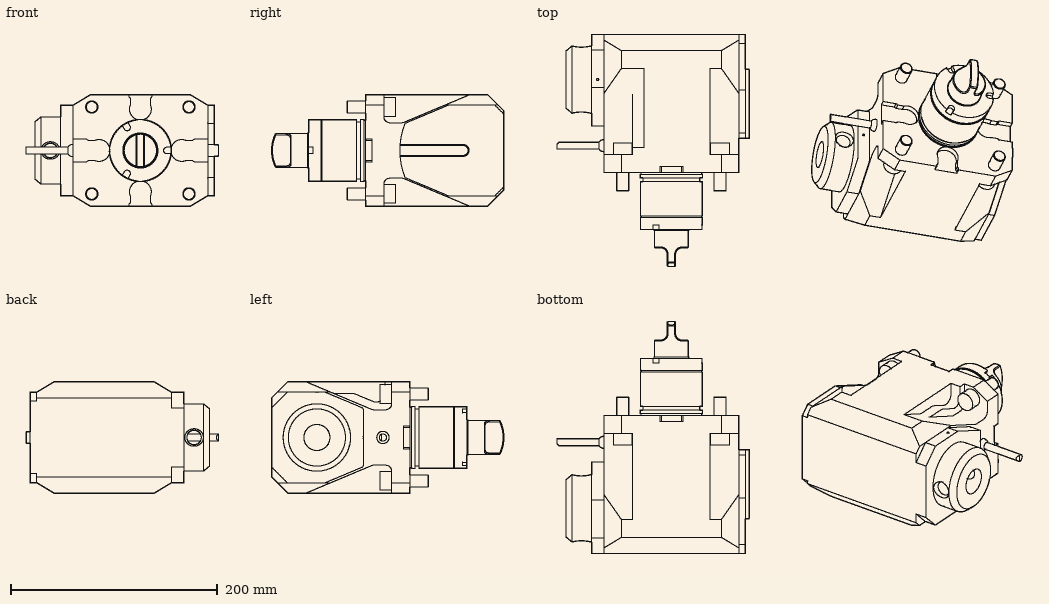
import cadquery as cq
import math


CUT_MARGIN = 2.2

HALF_WIDTH = 65.2
HALF_HEIGHT = 54.0
HOUSING_LENGTH = 133.8
CORNER_WIDTH = 16.9
CORNER_HEIGHT = 10.1
BACK_CHAMFER = 15.7
FLANGE_THICKNESS = 17.5

RELIEF_SLOPE = 0.42
RELIEF_FLOOR_Z = 26.8
RELIEF_SLOPE_END_Y = 36.0
RELIEF_INNER_X = 37.5
RELIEF_FILLET = 6.0

CHANNEL_INNER_X = 26.5
CHANNEL_SHELF_Z = 42.5
CHANNEL_SHELF_END_Y = 54.0
CHANNEL_WALL_Y = 24.3
CHANNEL_FILLET = 8.3
CHANNEL_SHELF_FILLET = 10.5

PLATE_HALF_HEIGHT = HALF_HEIGHT - CORNER_HEIGHT
PLATE_SHOULDER_Y = 82.0
PLATE_EDGE_FILLET = 2.2
LEFT_PLATE_THICKNESS = 12.0
LEFT_PLATE_END_Y = 45.0
LEFT_PLATE_CHAMFER = 15.3
RIGHT_PLATE_THICKNESS = 6.3
RIGHT_PLATE_CHAMFER = 8.8
RIGHT_PLATE_SHOULDER_Y = 80.0
RIGHT_PLATE_ARC_Y = 38.2
RIGHT_PLATE_END_Y = 33.0
PLATE_PIN_X = -71.3
PLATE_PIN_DEPTH = 2.2
TOP_PIN_DIAMETER = 2.1
END_PIN_DIAMETER = 1.7
END_PIN_Z = 0.0

KEY_WIDTH = 11.5
KEY_THICKNESS = 4.3
KEY_CHAMFER = 1.0
KEY_START_Y = RIGHT_PLATE_END_Y
KEY_END_Y = 100.0

NUT_Y = 90.0
NUT_DIAMETER = 65.2
NUT_FACE_DIAMETER = 55.3
NUT_LENGTH = 25.0
NUT_CHAMFER_LENGTH = 5.8
NUT_BORE_DIAMETER = 25.2
CROSS_HOLE_X = -87.0
CROSS_HOLE_DIAMETER = 14.0
CROSS_HOLE_MOUTH_DIAMETER = 18.0
CROSS_HOLE_MOUTH_DEPTH = 4.5

PIPE_Y = 26.0
PIPE_DIAMETER = 7.0
PIPE_END_X = -110.8
PIPE_END_CHAMFER = 2.2
PIPE_BALL_DIAMETER = 12.0

BOLT_X = 47.0
BOLT_Z = 42.0
BOLT_HEAD_DIAMETER = 18.0
BOLT_HEAD_LENGTH = 11.2
BOLT_SHANK_DIAMETER = 12.0
BOLT_PROTRUSION = 18.0
BOLT_TIP_CHAMFER = 0.7

SLOT_DEPTH = 6.0
SLOT_END_RADIUS = 10.5
SLOT_END_POSITION = 40.0
SLOT_NECK_WIDTH = 19.5
SLOT_MOUTH_WIDTH = 22.0
SLOT_TAPER_START = 50.4
SLOT_TAPER_END = 52.2

RELIEF_RING_DIAMETER = 59.0
RELIEF_RING_END = 1.8
COLLAR_DIAMETER = 60.2
COLLAR_END = 5.2
GROOVE_DIAMETER = 55.3
GROOVE_END = 8.8
SLEEVE_DIAMETER = 59.8
SLEEVE_END = 55.0
SEAM_POSITION = 42.7
SEAM_WIDTH = 1.3
SEAM_DEPTH = 0.7
DRIVE_RING_DIAMETER = 34.0
DRIVE_RING_LENGTH = 1.1
DRIVE_DIAMETER = 33.0
DRIVE_SHOULDER = 72.8
TANG_END = 91.0
TANG_THICKNESS = 8.0
TANG_FILLET = 6.3
TANG_TIP_RADIUS = 37.0
TANG_EDGE_CHAMFER = 1.0
NOTCH_WIDTH = 6.3
NOTCH_DEPTH = 4.3
NOTCH_CENTER_RADIUS = 25.6
NOTCH_ANGLES = (0, 120, 240)


def cylinder_along_y(diameter, start, end, x=0.0, z=0.0):
    """Cylinder parallel to Y from Y = start to Y = end."""
    length = end - start
    return cq.Workplane(cq.Solid.makeCylinder(
        diameter / 2, length, cq.Vector(x, start, z), cq.Vector(0, 1, 0)))


def cylinder_along_x(diameter, start, end, y=0.0):
    """Cylinder parallel to X, at Z = 0, from X = start to X = end."""
    length = end - start
    return cq.Workplane(cq.Solid.makeCylinder(
        diameter / 2, length, cq.Vector(start, y, 0), cq.Vector(1, 0, 0)))


def extrude_x(outline, start, end):
    """Extrude a closed list of (Y, Z) points from X = start to X = end."""
    return cq.Workplane("YZ", origin=(start, 0, 0)).polyline(outline).close().extrude(end - start)


def mirrored_outline(upper_half):
    """Close a list of (Y, Z) points with its mirror image below Z = 0."""
    return upper_half + [(y, -z) for y, z in reversed(upper_half)]


def edges_at(body, y, z):
    """Edges parallel to X that pass through the given Y and Z."""
    tolerance = 0.11
    low = (-2 * HALF_WIDTH, y - tolerance, z - tolerance)
    high = (2 * HALF_WIDTH, y + tolerance, z + tolerance)
    return body.edges(cq.selectors.BoxSelector(low, high, boundingbox=True))


def make_housing():
    block = cq.Workplane("XY").box(
        2 * HALF_WIDTH, HOUSING_LENGTH, 2 * HALF_HEIGHT, centered=(True, False, True))
    block = block.faces(">Y").edges("<Z or >Z").chamfer(BACK_CHAMFER)
    shoulder_x = HALF_WIDTH - CORNER_WIDTH
    shoulder_z = HALF_HEIGHT - CORNER_HEIGHT
    section = [
        (HALF_WIDTH, -shoulder_z), (HALF_WIDTH, shoulder_z),
        (shoulder_x, HALF_HEIGHT), (-shoulder_x, HALF_HEIGHT),
        (-HALF_WIDTH, shoulder_z), (-HALF_WIDTH, -shoulder_z),
        (-shoulder_x, -HALF_HEIGHT), (shoulder_x, -HALF_HEIGHT),
    ]
    prism = cq.Workplane("XZ").polyline(section).close().extrude(-HOUSING_LENGTH)
    return block.intersect(prism)


def make_relief_cutter():
    """Pocket above a sloping floor on the +X, +Z corner of the housing."""
    ceiling_z = HALF_HEIGHT + CUT_MARGIN
    slope_top_y = RELIEF_SLOPE_END_Y + (ceiling_z - RELIEF_FLOOR_Z) / RELIEF_SLOPE
    outline = [
        (FLANGE_THICKNESS, ceiling_z), (FLANGE_THICKNESS, RELIEF_FLOOR_Z),
        (RELIEF_SLOPE_END_Y, RELIEF_FLOOR_Z), (slope_top_y, ceiling_z),
    ]
    cutter = extrude_x(outline, RELIEF_INNER_X, HALF_WIDTH + CUT_MARGIN)
    for y, z in outline[1:3]:
        cutter = edges_at(cutter, y, z).fillet(RELIEF_FILLET)
    return cutter


def make_channel_cutter():
    """Stepped channel between the central rib and the -X, +Z relief pocket."""
    ceiling_z = HALF_HEIGHT + CUT_MARGIN
    slope_top_y = RELIEF_SLOPE_END_Y + (ceiling_z - RELIEF_FLOOR_Z) / RELIEF_SLOPE
    shelf_start_y = RELIEF_SLOPE_END_Y + (CHANNEL_SHELF_Z - RELIEF_FLOOR_Z) / RELIEF_SLOPE
    wall_foot_z = CHANNEL_SHELF_Z - RELIEF_SLOPE * (CHANNEL_SHELF_END_Y - CHANNEL_WALL_Y)
    outline = [
        (CHANNEL_WALL_Y, ceiling_z), (CHANNEL_WALL_Y, wall_foot_z),
        (CHANNEL_SHELF_END_Y, CHANNEL_SHELF_Z), (shelf_start_y, CHANNEL_SHELF_Z),
        (slope_top_y, ceiling_z),
    ]
    cutter = extrude_x(outline, -RELIEF_INNER_X, -CHANNEL_INNER_X)
    fillets = (CHANNEL_FILLET, CHANNEL_SHELF_FILLET, CHANNEL_SHELF_FILLET)
    for (y, z), radius in zip(outline[1:4], fillets):
        cutter = edges_at(cutter, y, z).fillet(radius)
    return cutter


def make_flange_slot(reach):
    """Slot running along +X from the spindle to the given distance."""
    neck = SLOT_NECK_WIDTH / 2
    mouth = SLOT_MOUTH_WIDTH / 2
    outline = [
        (SLOT_END_POSITION, -neck), (SLOT_TAPER_START, -neck), (SLOT_TAPER_END, -mouth),
        (reach, -mouth), (reach, mouth),
        (SLOT_TAPER_END, mouth), (SLOT_TAPER_START, neck), (SLOT_END_POSITION, neck),
    ]
    channel = cq.Workplane("XZ").polyline(outline).close().extrude(-SLOT_DEPTH)
    return channel.union(
        cylinder_along_y(2 * SLOT_END_RADIUS, 0, SLOT_DEPTH, x=SLOT_END_POSITION))


def make_left_plate():
    end_z = PLATE_HALF_HEIGHT - RELIEF_SLOPE * (PLATE_SHOULDER_Y - LEFT_PLATE_END_Y)
    upper_half = [
        (HOUSING_LENGTH, PLATE_HALF_HEIGHT - LEFT_PLATE_CHAMFER),
        (HOUSING_LENGTH - LEFT_PLATE_CHAMFER, PLATE_HALF_HEIGHT),
        (PLATE_SHOULDER_Y, PLATE_HALF_HEIGHT),
        (LEFT_PLATE_END_Y, end_z),
    ]
    outer_x = -HALF_WIDTH - LEFT_PLATE_THICKNESS
    plate = extrude_x(mirrored_outline(upper_half), outer_x, -HALF_WIDTH)
    for z in (end_z, -end_z):
        plate = edges_at(plate, LEFT_PLATE_END_Y, z).fillet(PLATE_EDGE_FILLET)
    top_pin = cq.Workplane(cq.Solid.makeCylinder(
        TOP_PIN_DIAMETER / 2, PLATE_PIN_DEPTH,
        cq.Vector(PLATE_PIN_X, NUT_Y, PLATE_HALF_HEIGHT - PLATE_PIN_DEPTH)))
    end_pin = cylinder_along_y(
        END_PIN_DIAMETER, LEFT_PLATE_END_Y, LEFT_PLATE_END_Y + PLATE_PIN_DEPTH,
        x=PLATE_PIN_X, z=END_PIN_Z)
    return plate.cut(top_pin).cut(end_pin)


def make_right_plate():
    """Plate whose lower end is a shallow arc, carrying a key with a round upper end."""
    arc_z = PLATE_HALF_HEIGHT - RELIEF_SLOPE * (RIGHT_PLATE_SHOULDER_Y - RIGHT_PLATE_ARC_Y)
    chamfer_z = PLATE_HALF_HEIGHT - RIGHT_PLATE_CHAMFER
    chamfer_y = HOUSING_LENGTH - RIGHT_PLATE_CHAMFER
    plate = (
        cq.Workplane("YZ", origin=(HALF_WIDTH, 0, 0))
        .moveTo(RIGHT_PLATE_ARC_Y, arc_z)
        .lineTo(RIGHT_PLATE_SHOULDER_Y, PLATE_HALF_HEIGHT)
        .lineTo(chamfer_y, PLATE_HALF_HEIGHT)
        .lineTo(HOUSING_LENGTH, chamfer_z)
        .lineTo(HOUSING_LENGTH, -chamfer_z)
        .lineTo(chamfer_y, -PLATE_HALF_HEIGHT)
        .lineTo(RIGHT_PLATE_SHOULDER_Y, -PLATE_HALF_HEIGHT)
        .lineTo(RIGHT_PLATE_ARC_Y, -arc_z)
        .threePointArc((RIGHT_PLATE_END_Y, 0), (RIGHT_PLATE_ARC_Y, arc_z))
        .close()
        .extrude(RIGHT_PLATE_THICKNESS)
    )
    key_radius = KEY_WIDTH / 2
    key_shoulder_y = KEY_END_Y - key_radius
    key = (
        cq.Workplane("YZ", origin=(HALF_WIDTH, 0, 0))
        .moveTo(KEY_START_Y, -key_radius)
        .lineTo(key_shoulder_y, -key_radius)
        .threePointArc((KEY_END_Y, 0), (key_shoulder_y, key_radius))
        .lineTo(KEY_START_Y, key_radius)
        .close()
        .extrude(RIGHT_PLATE_THICKNESS + KEY_THICKNESS)
        .faces(">X").edges("not <Y").chamfer(KEY_CHAMFER)
    )
    return plate.union(key)


def make_nut():
    """Bored round nut with a conical front and a countersunk cross hole."""
    root_x = -HALF_WIDTH - LEFT_PLATE_THICKNESS
    face_x = root_x - NUT_LENGTH
    cone_x = face_x + NUT_CHAMFER_LENGTH
    radius = NUT_DIAMETER / 2
    outline = [
        (root_x, NUT_Y), (root_x, NUT_Y + radius), (cone_x, NUT_Y + radius),
        (face_x, NUT_Y + NUT_FACE_DIAMETER / 2), (face_x, NUT_Y),
    ]
    nut = cq.Workplane("XY").polyline(outline).close().revolve(360, (root_x, NUT_Y), (face_x, NUT_Y))
    nut = nut.cut(cylinder_along_x(NUT_BORE_DIAMETER, face_x, root_x, NUT_Y))
    nut = nut.cut(cylinder_along_y(
        CROSS_HOLE_DIAMETER, NUT_Y - radius, NUT_Y + radius, x=CROSS_HOLE_X))
    for side in (-1, 1):
        mouth = cq.Workplane(cq.Solid.makeCone(
            CROSS_HOLE_MOUTH_DIAMETER / 2, CROSS_HOLE_DIAMETER / 2, CROSS_HOLE_MOUTH_DEPTH,
            cq.Vector(CROSS_HOLE_X, NUT_Y + side * radius, 0), cq.Vector(0, -side, 0)))
        nut = nut.cut(mouth)
    return nut


def make_pipe():
    pipe = cylinder_along_x(PIPE_DIAMETER, PIPE_END_X, -HALF_WIDTH, PIPE_Y)
    edge_y = PIPE_Y + PIPE_DIAMETER / 2
    bevel = (
        cq.Workplane("XY")
        .polyline([
            (PIPE_END_X, edge_y), (PIPE_END_X, edge_y - PIPE_END_CHAMFER),
            (PIPE_END_X + PIPE_END_CHAMFER, edge_y),
        ])
        .close()
        .extrude(PIPE_DIAMETER / 2, both=True)
    )
    ball = cq.Workplane("XY").sphere(PIPE_BALL_DIAMETER / 2).translate((-HALF_WIDTH, PIPE_Y, 0))
    return pipe.cut(bevel).union(ball)


def make_bolt(x, z):
    head = cylinder_along_y(
        BOLT_HEAD_DIAMETER, FLANGE_THICKNESS, FLANGE_THICKNESS + BOLT_HEAD_LENGTH, x, z)
    shank = cylinder_along_y(BOLT_SHANK_DIAMETER, -BOLT_PROTRUSION, FLANGE_THICKNESS, x, z)
    return head.union(shank.faces("<Y").chamfer(BOLT_TIP_CHAMFER))


def make_sleeve():
    """Round spindle sleeve with collar, sealing groove, seam and end notches."""
    relief_ring = cylinder_along_y(RELIEF_RING_DIAMETER, -RELIEF_RING_END, 0)
    collar = cylinder_along_y(COLLAR_DIAMETER, -COLLAR_END, -RELIEF_RING_END)
    core = cylinder_along_y(GROOVE_DIAMETER, -SLEEVE_END, SLOT_DEPTH)
    body = cylinder_along_y(SLEEVE_DIAMETER, -SLEEVE_END, -GROOVE_END)
    seam_start = -SEAM_POSITION - SEAM_WIDTH / 2
    seam_end = -SEAM_POSITION + SEAM_WIDTH / 2
    seam = cylinder_along_y(SLEEVE_DIAMETER, seam_start, seam_end).cut(
        cylinder_along_y(SLEEVE_DIAMETER - 2 * SEAM_DEPTH, seam_start, seam_end))
    sleeve = core.union(relief_ring).union(collar).union(body).cut(seam)

    notch_floor = -SLEEVE_END + NOTCH_DEPTH
    notch = cylinder_along_y(NOTCH_WIDTH, -SLEEVE_END, notch_floor, x=NOTCH_CENTER_RADIUS)
    notch = notch.union(
        cq.Workplane("XY")
        .box(SLEEVE_DIAMETER / 2, NOTCH_DEPTH, NOTCH_WIDTH, centered=(False, False, True))
        .translate((NOTCH_CENTER_RADIUS, -SLEEVE_END, 0)))
    for angle in NOTCH_ANGLES:
        sleeve = sleeve.cut(notch.rotate((0, 0, 0), (0, 1, 0), angle))
    return sleeve


def make_drive_tang():
    """Round drive shaft narrowed to a flat tang with a domed tip."""
    radius = DRIVE_DIAMETER / 2
    half_tang = TANG_THICKNESS / 2
    shaft = cylinder_along_y(DRIVE_DIAMETER, -TANG_END, -SLEEVE_END)
    fillet_middle = TANG_FILLET * (1 - math.sqrt(0.5))
    for side in (-1, 1):
        waste = (
            cq.Workplane("XY")
            .moveTo(side * radius, -TANG_END)
            .lineTo(side * radius, -DRIVE_SHOULDER)
            .lineTo(side * (half_tang + TANG_FILLET), -DRIVE_SHOULDER)
            .threePointArc(
                (side * (half_tang + fillet_middle), -DRIVE_SHOULDER - fillet_middle),
                (side * half_tang, -DRIVE_SHOULDER - TANG_FILLET))
            .lineTo(side * half_tang, -TANG_END)
            .close()
            .extrude(radius, both=True)
        )
        shaft = shaft.cut(waste)
    dome_drop = TANG_TIP_RADIUS - math.sqrt(TANG_TIP_RADIUS ** 2 - radius ** 2)
    dome = (
        cq.Workplane("YZ")
        .moveTo(-SLEEVE_END, -radius)
        .lineTo(-TANG_END + dome_drop, -radius)
        .threePointArc((-TANG_END, 0), (-TANG_END + dome_drop, radius))
        .lineTo(-SLEEVE_END, radius)
        .close()
        .extrude(radius, both=True)
    )
    tang = shaft.intersect(dome).edges("not (|Z or >Y)").chamfer(TANG_EDGE_CHAMFER)
    ring = cylinder_along_y(DRIVE_RING_DIAMETER, -SLEEVE_END - DRIVE_RING_LENGTH, -SLEEVE_END)
    return tang.union(ring)


result = make_housing()
relief = make_relief_cutter()
for cutter in (relief, relief.mirror("YZ")):
    result = result.cut(cutter).cut(cutter.mirror("XY"))
result = result.cut(make_channel_cutter())
for quarter in range(4):
    slot_reach = HALF_WIDTH if quarter % 2 == 0 else HALF_HEIGHT
    result = result.cut(make_flange_slot(slot_reach).rotate((0, 0, 0), (0, 1, 0), 90 * quarter))

for attachment in (make_left_plate(), make_right_plate(), make_nut(), make_pipe()):
    result = result.union(attachment)
for bolt_x in (-BOLT_X, BOLT_X):
    for bolt_z in (-BOLT_Z, BOLT_Z):
        result = result.union(make_bolt(bolt_x, bolt_z))
result = result.union(make_sleeve()).union(make_drive_tang())